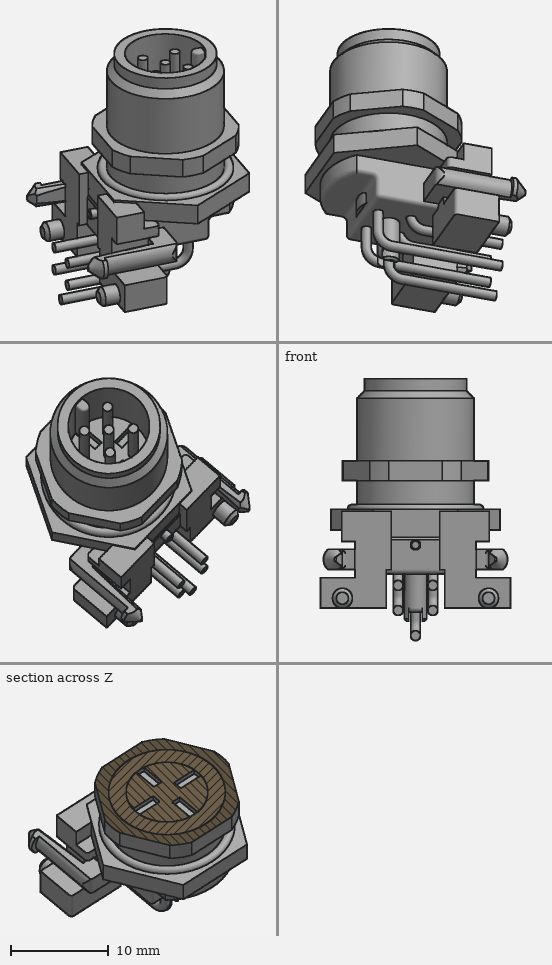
import cadquery as cq
import math


MARGIN = 0.03

BARREL_R = 6.0
RIM_R = 5.25
RIM_TOP_Z = 13.35
RIM_BOTTOM_Z = 12.1
CONE_BOTTOM_Z = RIM_BOTTOM_Z - (BARREL_R - RIM_R)
BORE_R = 4.15
FLANGE_FLATS = 15.01
FLANGE_THICKNESS = 2.15
FLANGE_BOTTOM_Z = -FLANGE_THICKNESS
FLANGE_FRONT_Y = -FLANGE_FLATS / 2
TAB_BOTTOM_Z = -2.87
TAB_DEPTH = 1.07

NUT_FLATS = 14.0
NUT_CORNER_R = 7.5
NUT_BOTTOM_Z = 2.92
NUT_THICKNESS = 2.0

RING_CORD_R = 0.48
RING_R = BARREL_R + RING_CORD_R

INSERT_FLOOR_Z = 5.35
INSERT_STEM_R = 3.32
INSERT_BOTTOM_Z = -5.65
FLOOR_SLOT_WIDTH = 1.0
FLOOR_SLOT_INNER_R = 1.45
FLOOR_SLOT_DEPTH = 1.07
KEY_R = 0.6
KEY_CENTRE_Y = 3.5
KEY_TOP_Z = 12.98
KEY_TOP_FILLET = 0.25
PIN_R = 0.5
PIN_OFFSET = 1.77
PIN_TOP_Z = 12.3
PIN_END_Y = -11.6
PIN_BEND_R = 1.5
PIN_LOWEST_Z = -12.95
PIN_ROW_PITCH = 2.57

BLOCK_R = 7.0
BLOCK_HALF_WIDTH = 4.72
BLOCK_STEP_Z = -4.13
BLOCK_BOTTOM_Z = -6.65
BLOCK_STEP_Y = 2.98
FRONT_BEVEL_DEPTH = 0.1
BLOCK_FRONT_Y = FLANGE_FRONT_Y - FRONT_BEVEL_DEPTH
BLOCK_EDGE_FILLET = 0.45
BLOCK_INNER_FILLET = 0.45
FRONT_BEVEL_HEIGHT = 0.27
BOSS_Z = -3.67
BOSS_R = 0.5
BOSS_END_Y = -8.5
BOSS_CHAMFER = 0.1

TUBE_R = 1.15
TUBE_BOTTOM_Z = -11.47
TUBE_CHAMFER = 0.25
TUBE_SLOT_WIDTH = 1.35
TUBE_SLOT_ROOF_Z = -10.54
TUBE_SLOT_FILLET = 0.4

BRACKET_FRONT_Y = -8.53
BRACKET_BACK_Y = -3.75
BRACKET_TOP_Z = -0.21
BRACKET_TOP_BACK_Y = -5.47
BRACKET_INNER_X = 2.47
LEG_INNER_X = 2.98
COLUMN_OUTER_X = 6.2
SHOULDER_OUTER_X = 7.55
SHOULDER_BOTTOM_Z = -3.32
FOOT_SPAN = 19.5
FOOT_OUTER_X = FOOT_SPAN / 2
FOOT_TOP_Z = -7.0
FOOT_BOTTOM_Z = -10.13
BRACKET_FILLET = 0.38
PEG_X = 7.48
PEG_R = 1.02
PEG_Z = FOOT_BOTTOM_Z + PEG_R
PEG_END_Y = -10.5
PEG_CHAMFER = 0.4

ARM_Z = -5.15
ARM_HEIGHT = 2.1
ARM_TOP_Z = ARM_Z + ARM_HEIGHT / 2
ARM_BOTTOM_Z = ARM_Z - ARM_HEIGHT / 2
ARM_BACK_Y = -2.15
ARM_ROOT_FRONT_Y = -4.48
ARM_OUTER_X = 8.9
ARM_INNER_X = 7.48
ARM_CORNER_R = 0.88
ARM_ROOT_FILLET = 0.3
ARM_SIDE_R = 1.37
HOOK_OUTER_X = 9.45
HOOK_BACK_Y = -10.21
HOOK_CONE_Y = -10.67
HOOK_TIP_Y = -11.93
HOOK_TIP_R = 0.27
HOOK_TIP_INNER_X = 8.1
HOOK_BEVEL_Y = -11.18
HOOK_AXIS_X = HOOK_OUTER_X - ARM_SIDE_R
TAPER_START_X = 7.02
TAPER_END_X = 7.45


def box(x_min, x_max, y_min, y_max, z_min, z_max):
    block = cq.Workplane("XY").box(x_max - x_min, y_max - y_min, z_max - z_min, centered=False)
    return block.translate((x_min, y_min, z_min))


def rod_z(radius, z_min, z_max, x=0.0, y=0.0):
    return cq.Workplane("XY", origin=(x, y, z_min)).circle(radius).extrude(z_max - z_min)


def rod_toward_front(radius, x, z, y_back, y_front):
    return cq.Workplane("XZ", origin=(x, y_back, z)).circle(radius).extrude(y_back - y_front)


def hexagon(across_flats, z_min, thickness):
    corner_diameter = across_flats / math.cos(math.pi / 6)
    return cq.Workplane("XY", origin=(0, 0, z_min)).polygon(6, corner_diameter).extrude(thickness)


def mirrored_pair(body):
    return body.union(body.mirror("YZ"))


def make_ring():
    cord = cq.Workplane("XZ").center(RING_R, 0).circle(RING_CORD_R)
    return cord.revolve(360, (-RING_R, 0), (-RING_R, 1))


def make_nut():
    nut = hexagon(NUT_FLATS, NUT_BOTTOM_Z, NUT_THICKNESS)
    nut_top_z = NUT_BOTTOM_Z + NUT_THICKNESS
    rounding = rod_z(NUT_CORNER_R, NUT_BOTTOM_Z, nut_top_z)
    hole = rod_z(BARREL_R, NUT_BOTTOM_Z, nut_top_z)
    return nut.intersect(rounding).cut(hole)


def make_shell(ring):
    barrel_outline = [
        (0, FLANGE_BOTTOM_Z),
        (BARREL_R, FLANGE_BOTTOM_Z),
        (BARREL_R, CONE_BOTTOM_Z),
        (RIM_R, RIM_BOTTOM_Z),
        (RIM_R, RIM_TOP_Z),
        (0, RIM_TOP_Z),
    ]
    barrel = cq.Workplane("XZ").polyline(barrel_outline).close().revolve(360, (0, 0), (0, 1))
    flange = hexagon(FLANGE_FLATS, FLANGE_BOTTOM_Z, FLANGE_THICKNESS)
    tab = box(
        -BRACKET_INNER_X, BRACKET_INNER_X,
        FLANGE_FRONT_Y, FLANGE_FRONT_Y + TAB_DEPTH,
        TAB_BOTTOM_Z, FLANGE_BOTTOM_Z,
    )
    bore = rod_z(BORE_R, FLANGE_BOTTOM_Z, RIM_TOP_Z)
    return flange.cut(ring).union(barrel).union(tab).cut(bore)


def make_pin(x, y, tail_z):
    bend_start_z = tail_z + PIN_BEND_R
    bend_end_y = y - PIN_BEND_R
    bend_mid_y = bend_end_y + PIN_BEND_R * math.cos(math.pi / 4)
    bend_mid_z = bend_start_z - PIN_BEND_R * math.sin(math.pi / 4)
    path = (
        cq.Workplane("YZ", origin=(x, 0, 0))
        .moveTo(y, PIN_TOP_Z)
        .lineTo(y, bend_start_z)
        .threePointArc((bend_mid_y, bend_mid_z), (bend_end_y, tail_z))
        .lineTo(PIN_END_Y, tail_z)
    )
    return cq.Workplane("XY", origin=(x, y, PIN_TOP_Z)).circle(PIN_R).sweep(path)


def make_key():
    round_nose = rod_z(KEY_R, INSERT_FLOOR_Z, KEY_TOP_Z, y=KEY_CENTRE_Y)
    back = box(-KEY_R, KEY_R, KEY_CENTRE_Y, BORE_R + KEY_R, INSERT_FLOOR_Z, KEY_TOP_Z)
    key = round_nose.union(back).faces(">Z").edges().fillet(KEY_TOP_FILLET)
    return key.intersect(rod_z(BORE_R, INSERT_FLOOR_Z, KEY_TOP_Z))


def make_insert():
    insert = rod_z(BORE_R, FLANGE_BOTTOM_Z, INSERT_FLOOR_Z)
    insert = insert.union(rod_z(INSERT_STEM_R, INSERT_BOTTOM_Z, FLANGE_BOTTOM_Z))
    floor_slot = box(
        FLOOR_SLOT_INNER_R, BORE_R + MARGIN,
        -FLOOR_SLOT_WIDTH / 2, FLOOR_SLOT_WIDTH / 2,
        INSERT_FLOOR_Z - FLOOR_SLOT_DEPTH, INSERT_FLOOR_Z,
    )
    for angle in (0, 90, 180, 270):
        insert = insert.cut(floor_slot.rotate((0, 0, 0), (0, 0, 1), angle))
    insert = insert.union(make_key())
    insert = insert.union(make_pin(0, 0, PIN_LOWEST_Z))
    for x in (-PIN_OFFSET, PIN_OFFSET):
        insert = insert.union(make_pin(x, PIN_OFFSET, PIN_LOWEST_Z + PIN_ROW_PITCH))
        insert = insert.union(make_pin(x, -PIN_OFFSET, PIN_LOWEST_Z + 2 * PIN_ROW_PITCH))
    return insert


def make_block():
    side_outline = [
        (BLOCK_R, FLANGE_BOTTOM_Z),
        (BLOCK_R, BLOCK_STEP_Z),
        (BLOCK_STEP_Y, BLOCK_STEP_Z),
        (BLOCK_STEP_Y, BLOCK_BOTTOM_Z),
        (BLOCK_FRONT_Y, BLOCK_BOTTOM_Z),
        (BLOCK_FRONT_Y, TAB_BOTTOM_Z - FRONT_BEVEL_HEIGHT),
        (FLANGE_FRONT_Y, TAB_BOTTOM_Z),
        (FLANGE_FRONT_Y, FLANGE_BOTTOM_Z),
    ]
    block = (
        cq.Workplane("YZ", origin=(-BLOCK_HALF_WIDTH, 0, 0))
        .polyline(side_outline)
        .close()
        .extrude(2 * BLOCK_HALF_WIDTH)
    )
    front_area = box(
        -BLOCK_HALF_WIDTH, BLOCK_HALF_WIDTH, BLOCK_FRONT_Y, 0, BLOCK_BOTTOM_Z, FLANGE_BOTTOM_Z
    )
    block = block.intersect(rod_z(BLOCK_R, BLOCK_BOTTOM_Z, FLANGE_BOTTOM_Z).union(front_area))
    inner_edge = cq.selectors.BoxSelector(
        (-BLOCK_HALF_WIDTH, BLOCK_STEP_Y - MARGIN, BLOCK_STEP_Z - MARGIN),
        (BLOCK_HALF_WIDTH, BLOCK_STEP_Y + MARGIN, BLOCK_STEP_Z + MARGIN),
    )
    block = block.edges(inner_edge).fillet(BLOCK_INNER_FILLET)
    overhang_and_back = cq.selectors.BoxSelector(
        (-BLOCK_HALF_WIDTH - MARGIN, BLOCK_STEP_Y - MARGIN, BLOCK_BOTTOM_Z + MARGIN),
        (BLOCK_HALF_WIDTH + MARGIN, BLOCK_R, BLOCK_STEP_Z + MARGIN),
    )
    cross_edges = cq.selectors.ParallelDirSelector(cq.Vector(1, 0, 0))
    block = block.edges(overhang_and_back - cross_edges).fillet(BLOCK_EDGE_FILLET)
    return block.faces("<Z").edges("<Y or <X or >X").fillet(BLOCK_EDGE_FILLET)


def make_tube():
    tube = rod_z(TUBE_R, TUBE_BOTTOM_Z, BLOCK_BOTTOM_Z).faces("<Z").chamfer(TUBE_CHAMFER)
    half_slot = TUBE_SLOT_WIDTH / 2
    slot = box(-half_slot, half_slot, -TUBE_R, TUBE_R, TUBE_BOTTOM_Z, TUBE_SLOT_ROOF_Z)
    tube = tube.cut(slot)
    roof_edges = cq.selectors.BoxSelector(
        (-half_slot, -TUBE_R - MARGIN, TUBE_SLOT_ROOF_Z - MARGIN),
        (half_slot, TUBE_R + MARGIN, TUBE_SLOT_ROOF_Z + MARGIN),
    )
    return tube.edges("%CIRCLE").edges(roof_edges).fillet(TUBE_SLOT_FILLET)


def make_boss():
    boss = rod_toward_front(BOSS_R, 0, BOSS_Z, BLOCK_FRONT_Y, BOSS_END_Y)
    return boss.faces("<Y").chamfer(BOSS_CHAMFER)


def make_bracket():
    front_outline = [
        (BRACKET_INNER_X, BRACKET_TOP_Z),
        (SHOULDER_OUTER_X, BRACKET_TOP_Z),
        (SHOULDER_OUTER_X, SHOULDER_BOTTOM_Z),
        (COLUMN_OUTER_X, SHOULDER_BOTTOM_Z),
        (COLUMN_OUTER_X, FOOT_TOP_Z),
        (FOOT_OUTER_X, FOOT_TOP_Z),
        (FOOT_OUTER_X, FOOT_BOTTOM_Z),
        (LEG_INNER_X, FOOT_BOTTOM_Z),
        (LEG_INNER_X, ARM_BOTTOM_Z),
        (BRACKET_INNER_X, ARM_BOTTOM_Z),
    ]
    bracket = (
        cq.Workplane("XZ", origin=(0, BRACKET_BACK_Y, 0))
        .polyline(front_outline)
        .close()
        .extrude(BRACKET_BACK_Y - BRACKET_FRONT_Y)
    )
    for x in (SHOULDER_OUTER_X, FOOT_OUTER_X):
        outer_edge = cq.selectors.BoxSelector(
            (x - MARGIN, BRACKET_BACK_Y - MARGIN, FOOT_BOTTOM_Z),
            (x + MARGIN, BRACKET_BACK_Y + MARGIN, BRACKET_TOP_Z),
        )
        bracket = bracket.edges("|Z").edges(outer_edge).fillet(BRACKET_FILLET)
    flange_room = box(
        BRACKET_INNER_X, SHOULDER_OUTER_X,
        BRACKET_TOP_BACK_Y, BRACKET_BACK_Y,
        FLANGE_BOTTOM_Z, BRACKET_TOP_Z,
    )
    peg = rod_toward_front(PEG_R, PEG_X, PEG_Z, BRACKET_FRONT_Y, PEG_END_Y)
    peg = peg.faces("<Y").chamfer(PEG_CHAMFER)
    return bracket.cut(flange_room).union(peg)


def make_snap_arm():
    root = box(
        BLOCK_HALF_WIDTH, ARM_INNER_X + ARM_ROOT_FILLET,
        ARM_ROOT_FRONT_Y, ARM_BACK_Y,
        ARM_BOTTOM_Z, ARM_TOP_Z,
    )
    bar = box(ARM_INNER_X, ARM_OUTER_X, HOOK_CONE_Y, ARM_BACK_Y, ARM_BOTTOM_Z, ARM_TOP_Z)
    arm = root.union(bar)
    arm = arm.edges("|Z and >X and >Y").fillet(ARM_CORNER_R)
    root_edge = cq.selectors.BoxSelector(
        (ARM_INNER_X - MARGIN, ARM_ROOT_FRONT_Y - MARGIN, ARM_BOTTOM_Z),
        (ARM_INNER_X + MARGIN, ARM_ROOT_FRONT_Y + MARGIN, ARM_TOP_Z),
    )
    arm = arm.edges("|Z").edges(root_edge).fillet(ARM_ROOT_FILLET)
    return arm.intersect(arm_outer_side()).union(make_hook()).intersect(arm_inner_side())


def arm_outer_side():
    """Space inside the shallow cylinder that rounds the outer side of the arm."""
    axis_x = ARM_OUTER_X - ARM_SIDE_R
    cylinder = rod_toward_front(ARM_SIDE_R, axis_x, ARM_Z, ARM_BACK_Y, HOOK_CONE_Y)
    inner_part = box(BLOCK_HALF_WIDTH, axis_x, HOOK_CONE_Y, ARM_BACK_Y, ARM_BOTTOM_Z, ARM_TOP_Z)
    return cylinder.union(inner_part)


def arm_inner_side():
    """Space outside of the leaning cylinder that rounds the inner side of the arm toward its tip."""
    length = ARM_ROOT_FRONT_Y - HOOK_TIP_Y
    lean = math.degrees(math.atan((TAPER_END_X - TAPER_START_X) / length))
    start_axis_x = TAPER_START_X + ARM_SIDE_R
    reach = 2 * length
    cylinder = rod_toward_front(
        ARM_SIDE_R, start_axis_x, ARM_Z, ARM_ROOT_FRONT_Y + reach, ARM_ROOT_FRONT_Y - reach
    )
    pivot = (start_axis_x, ARM_ROOT_FRONT_Y, ARM_Z)
    pivot_top = (start_axis_x, ARM_ROOT_FRONT_Y, ARM_TOP_Z)
    cylinder = cylinder.rotate(pivot, pivot_top, lean)
    outer_part = box(HOOK_AXIS_X, HOOK_OUTER_X, HOOK_TIP_Y, ARM_BACK_Y, ARM_BOTTOM_Z, ARM_TOP_Z)
    root_part = box(
        BLOCK_HALF_WIDTH, HOOK_AXIS_X, ARM_ROOT_FRONT_Y, ARM_BACK_Y, ARM_BOTTOM_Z, ARM_TOP_Z
    )
    return cylinder.union(outer_part).union(root_part)


def make_hook():
    plan = [
        (ARM_INNER_X, HOOK_BACK_Y),
        (HOOK_OUTER_X, HOOK_BACK_Y),
        (HOOK_OUTER_X, HOOK_TIP_Y),
        (HOOK_TIP_INNER_X, HOOK_TIP_Y),
        (ARM_INNER_X, HOOK_BEVEL_Y),
    ]
    plate = (
        cq.Workplane("XY", origin=(0, 0, ARM_BOTTOM_Z)).polyline(plan).close().extrude(ARM_HEIGHT)
    )
    cone_outline = [
        (0, HOOK_BACK_Y),
        (ARM_SIDE_R, HOOK_BACK_Y),
        (ARM_SIDE_R, HOOK_CONE_Y),
        (HOOK_TIP_R, HOOK_TIP_Y),
        (0, HOOK_TIP_Y),
    ]
    cone = (
        cq.Workplane("XY", origin=(HOOK_AXIS_X, 0, ARM_Z))
        .polyline(cone_outline)
        .close()
        .revolve(360, (0, 0), (0, 1))
    )
    return plate.intersect(cone)


def make_holder(shell, insert):
    holder = make_block().union(make_tube()).union(make_boss())
    holder = holder.union(mirrored_pair(make_bracket()))
    holder = holder.union(mirrored_pair(make_snap_arm()))
    flange_seat = hexagon(FLANGE_FLATS, FLANGE_BOTTOM_Z, FLANGE_THICKNESS)
    return holder.cut(flange_seat).cut(shell).cut(insert)


sealing_ring = make_ring()
nut = make_nut()
shell = make_shell(sealing_ring)
insert = make_insert()
holder = make_holder(shell, insert)

result = cq.Compound.makeCompound(
    [shell.val(), nut.val(), sealing_ring.val(), insert.val(), holder.val()]
)